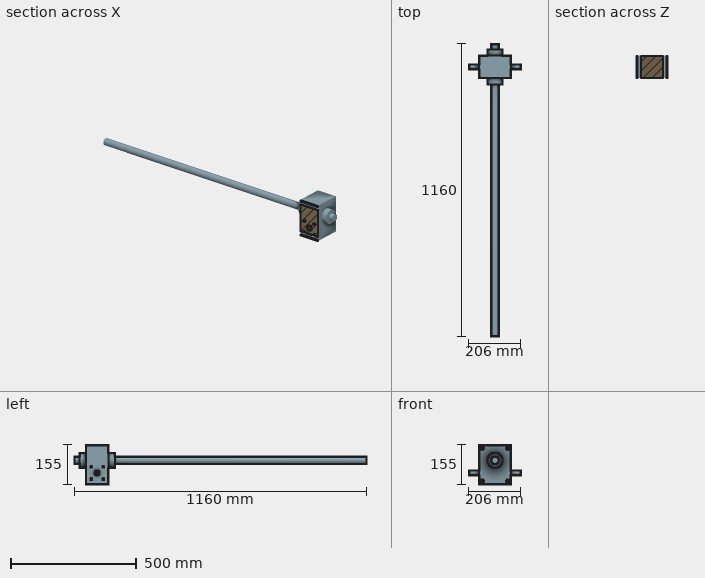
import cadquery as cq

HOUSING_WIDTH = 126.0
HOUSING_DEPTH = 90.0
HOUSING_HEIGHT = 155.0
HOUSING_TOP = 60.0
HOUSING_CENTER_Z = HOUSING_TOP - HOUSING_HEIGHT / 2

MOUNTING_HOLE_DIAMETER = 11.0
MOUNTING_SPACING_X = 102.0
MOUNTING_SPACING_Z = 131.0

THREAD_DIAMETER = 6.0
THREAD_DEPTH = 12.0
DRILL_DIAMETER = 4.92
DRILL_DEPTH = 15.0
FLANGE_HOLE_SPACING = 48.0

SLEEVE_DIAMETER = 60.0
SLEEVE_LENGTH = 140.0

SHAFT_DIAMETER = 20.0
SHAFT_LENGTH = 206.0
SHAFT_DROP = 50.0

SCREW_DIAMETER = 30.0
SCREW_LENGTH = 1160.0
SCREW_REAR_Y = 90.0


def rod_along_y(diameter, length, center_y=0.0):
    """Cylinder on the screw axis, centred at center_y."""
    return (
        cq.Workplane("XZ", origin=(0, center_y + length / 2, 0))
        .circle(diameter / 2)
        .extrude(length)
    )


def rod_along_x(diameter, length):
    """Cylinder on the input shaft axis, centred on the housing."""
    return (
        cq.Workplane("YZ", origin=(-length / 2, 0, -SHAFT_DROP))
        .circle(diameter / 2)
        .extrude(length)
    )


def threaded_hole(position, side):
    """Stepped blind hole along X, entering a face on the given side of the part."""
    thread = cq.Workplane("YZ", origin=position).circle(THREAD_DIAMETER / 2).extrude(-side * THREAD_DEPTH)
    drill = cq.Workplane("YZ", origin=position).circle(DRILL_DIAMETER / 2).extrude(-side * DRILL_DEPTH)
    return thread.union(drill)


def make_housing():
    mounting_holes = (
        cq.Workplane("XZ", origin=(0, HOUSING_DEPTH / 2, HOUSING_CENTER_Z))
        .rect(MOUNTING_SPACING_X, MOUNTING_SPACING_Z, forConstruction=True)
        .vertices()
        .circle(MOUNTING_HOLE_DIAMETER / 2)
        .extrude(HOUSING_DEPTH)
    )
    housing = (
        cq.Workplane("XY", origin=(0, 0, HOUSING_CENTER_Z))
        .box(HOUSING_WIDTH, HOUSING_DEPTH, HOUSING_HEIGHT)
        .cut(mounting_holes)
        .cut(rod_along_y(SLEEVE_DIAMETER, HOUSING_DEPTH))
        .cut(rod_along_x(SHAFT_DIAMETER, HOUSING_WIDTH))
    )
    half_spacing = FLANGE_HOLE_SPACING / 2
    for side in (-1, 1):
        for y in (-half_spacing, half_spacing):
            for z_offset in (-half_spacing, half_spacing):
                position = (side * HOUSING_WIDTH / 2, y, z_offset - SHAFT_DROP)
                housing = housing.cut(threaded_hole(position, side))
    return housing


def make_sleeve():
    bore = rod_along_y(SCREW_DIAMETER, SLEEVE_LENGTH)
    return rod_along_y(SLEEVE_DIAMETER, SLEEVE_LENGTH).cut(bore)


def make_input_shaft():
    shaft = rod_along_x(SHAFT_DIAMETER, SHAFT_LENGTH)
    for side in (-1, 1):
        position = (side * SHAFT_LENGTH / 2, 0, -SHAFT_DROP)
        shaft = shaft.cut(threaded_hole(position, side))
    return shaft


def make_screw():
    return rod_along_y(SCREW_DIAMETER, SCREW_LENGTH, SCREW_REAR_Y - SCREW_LENGTH / 2)


housing = make_housing()
sleeve = make_sleeve()
input_shaft = make_input_shaft()
screw = make_screw()

result = cq.Compound.makeCompound([housing.val(), sleeve.val(), input_shaft.val(), screw.val()])